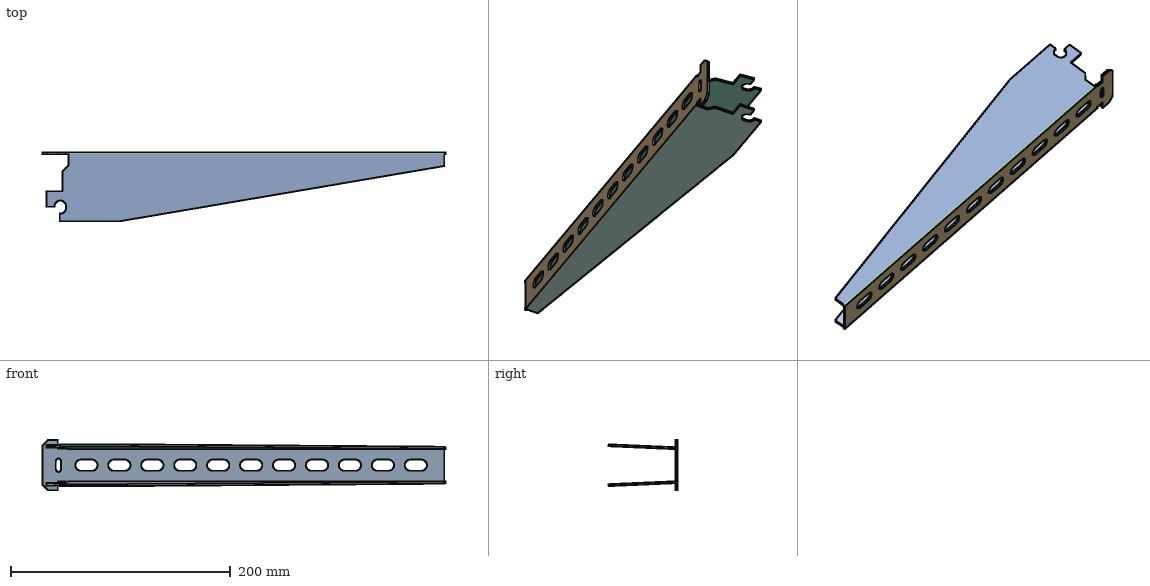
import cadquery as cq

sheet = 2.0
overall_length = 367.0
trimmed_length = 366.0

web_half_width = 16.5
inner_half_width = web_half_width - sheet
neck_half_width = 15.0
head_half_width = 23.0
head_length = 14.0
head_chamfer = 5.0
bend_start_x = 21.0

mount_slot_x = 14.5
mount_slot_width = 4.5
mount_slot_length = 12.0
slot_count = 11
slot_pitch = 30.0
first_slot_x = 40.0
slot_length = 20.0
slot_width = 10.0

flare_angle = 2.5
flange_depth = 63.0
tip_depth = 12.7
taper_start_x = 71.0
root_x = 23.5
step_x = 18.0
step_start_depth = 12.3
tooth_x = 3.5
tooth_top_depth = 35.5
tooth_bottom_depth = 49.8
lip_x = 15.5
hook_center_x = 16.2
hook_top_depth = 44.2
hook_bottom_depth = 56.0
hook_width = 10.2


def make_plate(start_x, end_x, half_width):
    """Upright plate in the XZ plane, outer face at Y = 0 and inner face at Y = -sheet."""
    plate = cq.Workplane("XY").box(end_x - start_x, sheet, 2 * half_width, centered=(False, False, True))
    return plate.translate((start_x, -sheet, 0))


def make_web():
    """Chamfered head, narrower neck and the web between the two bends."""
    head = make_plate(0, head_length, head_half_width).edges("|Y and <X").chamfer(head_chamfer)
    neck = make_plate(0, bend_start_x, neck_half_width)
    body = make_plate(bend_start_x, trimmed_length, inner_half_width)
    return head.union(neck).union(body)


def make_upper_bend():
    """Square strip that joins the web to the upper flange and runs the full length."""
    strip = cq.Workplane("XY").box(overall_length - bend_start_x, sheet, sheet, centered=False)
    return strip.translate((bend_start_x, -sheet, inner_half_width))


def cut_slots(web):
    """Cut the mounting slot in the head and the row of long slots."""
    slot_centers = [(first_slot_x + i * slot_pitch, 0) for i in range(slot_count)]
    long_slots = (
        cq.Workplane("XZ")
        .pushPoints(slot_centers)
        .slot2D(slot_length, slot_width)
        .extrude(sheet)
    )
    mount_slot = (
        cq.Workplane("XZ")
        .center(mount_slot_x, 0)
        .slot2D(mount_slot_length, mount_slot_width, 90)
        .extrude(sheet)
    )
    return web.cut(long_slots).cut(mount_slot)


def make_upper_flange():
    """Flat arm with its hook end, then leaned outward about its inner root edge."""
    step_end_depth = step_start_depth + root_x - step_x
    arm = (
        cq.Workplane("XY", origin=(0, 0, inner_half_width))
        .moveTo(root_x, -sheet)
        .lineTo(root_x, -step_start_depth)
        .lineTo(step_x, -step_end_depth)
        .lineTo(step_x, -tooth_top_depth)
        .lineTo(tooth_x, -tooth_top_depth)
        .lineTo(tooth_x, -tooth_bottom_depth)
        .lineTo(lip_x, -tooth_bottom_depth)
        .lineTo(lip_x, -flange_depth)
        .lineTo(taper_start_x, -flange_depth)
        .lineTo(trimmed_length, -tip_depth)
        .lineTo(trimmed_length, -sheet)
        .close()
        .extrude(sheet)
    )
    hook_gap = (
        cq.Workplane("XY", origin=(0, 0, inner_half_width))
        .center(hook_center_x, -(hook_top_depth + hook_bottom_depth) / 2)
        .slot2D(hook_bottom_depth - hook_top_depth, hook_width, 90)
        .extrude(sheet)
    )
    inner_root = (0, -sheet, inner_half_width)
    return arm.cut(hook_gap).rotate(inner_root, (1, -sheet, inner_half_width), -flare_angle)


upper_flange = make_upper_bend().union(make_upper_flange())
lower_flange = upper_flange.mirror("XY")
result = cut_slots(make_web()).union(upper_flange).union(lower_flange)